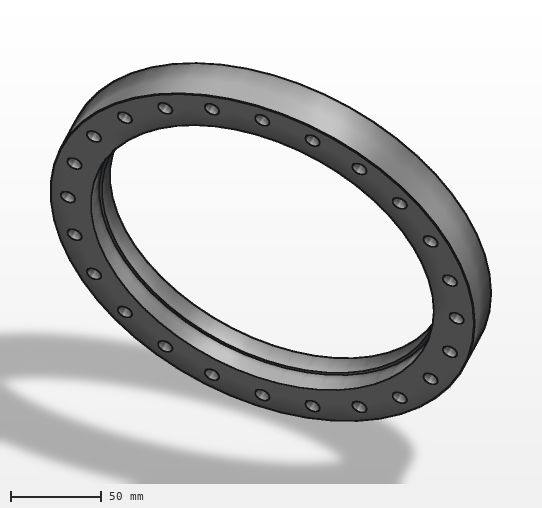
import cadquery as cq

outer_diameter = 253.2
thickness = 24.6
edge_chamfer = 0.4

bore_diameter = 201.0
front_recess_diameter = 204.5
front_recess_depth = 11.8
gasket_recess_diameter = 222.2
gasket_recess_depth = 1.2

bolt_count = 24
bolt_circle_diameter = 231.8
bolt_hole_diameter = 8.5

front_y = -thickness / 2
back_y = thickness / 2


def cylinder_along_y(diameter, start_y, length):
    """Cylinder that starts at start_y and runs toward +Y."""
    start_plane = cq.Workplane("XZ", origin=(0, start_y, 0))
    return start_plane.circle(diameter / 2).extrude(-length)


def flange_blank():
    """Disc with both rim edges chamfered."""
    disc = cylinder_along_y(outer_diameter, front_y, thickness)
    return disc.faces("<Y or >Y").edges().chamfer(edge_chamfer)


def stepped_bore():
    """Through bore, with a deep recess at -Y and a shallow gasket recess at +Y."""
    bore = cylinder_along_y(bore_diameter, front_y, thickness)
    front_recess = cylinder_along_y(front_recess_diameter, front_y, front_recess_depth)
    gasket_recess = cylinder_along_y(
        gasket_recess_diameter, back_y - gasket_recess_depth, gasket_recess_depth
    )
    return bore.union(front_recess).union(gasket_recess)


def bolt_holes():
    """Evenly spaced through holes, the first one on the +X axis."""
    front_plane = cq.Workplane("XZ", origin=(0, front_y, 0))
    centres = front_plane.polarArray(bolt_circle_diameter / 2, 0, 360, bolt_count)
    return centres.circle(bolt_hole_diameter / 2).extrude(-thickness)


result = flange_blank().cut(stepped_bore()).cut(bolt_holes())